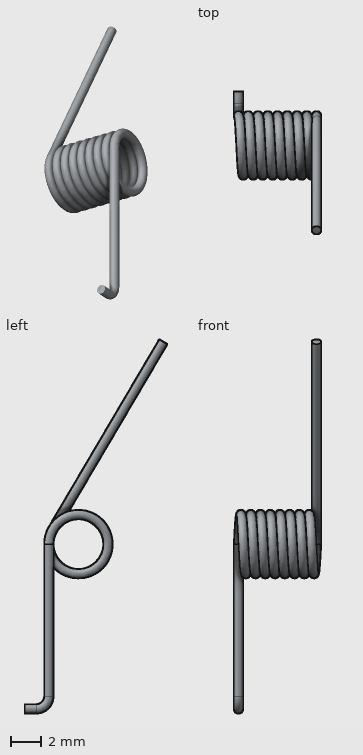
import cadquery as cq
import math

overall_width = 5.75
turns = 8
turn_gap = 0.01
mean_radius = 1.95
wire_diameter = (overall_width - turns * turn_gap) / (turns + 1)
coil_length = overall_width - wire_diameter
pitch = coil_length / turns
first_end_x = -coil_length / 2
last_end_x = coil_length / 2

lower_leg_length = 10.0
bend_radius = 0.84
hook_length = 0.76

lean_angle = 30.5
upper_leg_length = 14.3


def wire_section(x):
    """Round wire profile, in the horizontal plane where a leg meets the coil."""
    return cq.Workplane("XY").center(x, mean_radius).circle(wire_diameter / 2)


def make_coil():
    """Helix that rises from its first end on the +Y side and passes over the top."""
    helix = (
        cq.Wire.makeHelix(pitch, coil_length, mean_radius)
        .rotate(cq.Vector(0, 0, 0), cq.Vector(0, 1, 0), 90)
        .rotate(cq.Vector(0, 0, 0), cq.Vector(1, 0, 0), 90)
    )
    helix = helix.translate(cq.Vector(first_end_x, 0, 0))
    return wire_section(first_end_x).sweep(cq.Workplane(obj=helix), isFrenet=True)


def make_lower_leg():
    bend_centre_y = mean_radius + bend_radius
    bend_offset = bend_radius * math.cos(math.radians(45))
    hook_z = -lower_leg_length - bend_radius
    path = (
        cq.Workplane("YZ", origin=(first_end_x, 0, 0))
        .moveTo(mean_radius, 0)
        .lineTo(mean_radius, -lower_leg_length)
        .threePointArc(
            (bend_centre_y - bend_offset, -lower_leg_length - bend_offset),
            (bend_centre_y, hook_z),
        )
        .lineTo(bend_centre_y + hook_length, hook_z)
    )
    return wire_section(first_end_x).sweep(path)


def arc_point(angle):
    """Point (y, z) on the mean coil circle, measured from +Y towards the top."""
    turn = math.radians(angle)
    return mean_radius * math.cos(turn), mean_radius * math.sin(turn)


def make_upper_leg():
    lean = math.radians(lean_angle)
    arc_end_y, arc_end_z = arc_point(lean_angle)
    tip = (
        arc_end_y - upper_leg_length * math.sin(lean),
        arc_end_z + upper_leg_length * math.cos(lean),
    )
    path = (
        cq.Workplane("YZ", origin=(last_end_x, 0, 0))
        .moveTo(mean_radius, 0)
        .threePointArc(arc_point(lean_angle / 2), (arc_end_y, arc_end_z))
        .lineTo(*tip)
    )
    return wire_section(last_end_x).sweep(path)


coil = make_coil()
lower_leg = make_lower_leg().cut(coil).solids()
upper_leg = make_upper_leg().cut(coil).solids()

result = cq.Compound.makeCompound([coil.val(), lower_leg.val(), upper_leg.val()])